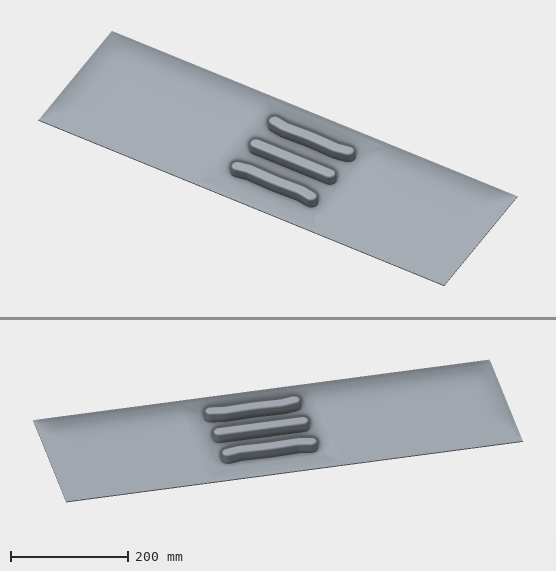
import cadquery as cq

SHEET_LENGTH = 800.0
SHEET_WIDTH = 250.0
SHEET_THICKNESS = 2.0
TRAY_X = 30.0
TRAY_MOUTH = 230.0
TRAY_FLOOR = 183.0
TRAY_DEPTH = 2.0

TOTAL_HEIGHT = 20.0
RIB_LENGTH = 169.0
RIB_WIDTH = 23.0
RIB_DRAFT = 5.0
RIB_TOP_FILLET = 4.0
RIB_SPACING = 62.0

WAVE_DIP_X = 51.0
WAVE_DIP = -2.0
WAVE_END_LIFT = 2.0
DIP_RADIUS = 34.0
CREST_RADIUS = 240.0

rib_end_x = (RIB_LENGTH - RIB_WIDTH) / 2
rib_height = TOTAL_HEIGHT - SHEET_THICKNESS
floor_plane = cq.Plane(origin=(TRAY_X, 0, SHEET_THICKNESS))


def tray_block(bottom_z):
    """Block that widens from the tray floor to the tray mouth."""
    return (
        cq.Workplane("XY", origin=(TRAY_X, 0, bottom_z))
        .rect(TRAY_FLOOR, TRAY_FLOOR)
        .workplane(offset=TRAY_DEPTH)
        .rect(TRAY_MOUTH, TRAY_MOUTH)
        .loft(ruled=True)
    )


def make_sheet():
    flat = (
        cq.Workplane("XY", origin=(0, 0, TRAY_DEPTH))
        .rect(SHEET_LENGTH, SHEET_WIDTH)
        .extrude(SHEET_THICKNESS)
    )
    return flat.union(tray_block(0)).cut(tray_block(SHEET_THICKNESS))


def round_corner(wire, x, radius):
    """Round the corner of a centre line that lies at the given x."""
    corner = min(wire.Vertices(), key=lambda vertex: abs(vertex.X - x))
    return wire.fillet(radius, [corner])


def raise_rib(outline):
    """Drafted rib with a rounded top rim, standing on the tray floor."""
    rib = outline.extrude(rib_height, taper=RIB_DRAFT)
    return rib.faces(">Z").edges().fillet(RIB_TOP_FILLET)


def make_straight_rib():
    return raise_rib(cq.Workplane(floor_plane).slot2D(RIB_LENGTH, RIB_WIDTH))


def make_wavy_rib():
    """Rib with a crest in the middle, a dip on each side of it and lifted ends."""
    centre_line = cq.Wire.makePolygon([
        (-rib_end_x, WAVE_END_LIFT),
        (-WAVE_DIP_X, WAVE_DIP),
        (0, 0),
        (WAVE_DIP_X, WAVE_DIP),
        (rib_end_x, WAVE_END_LIFT),
    ])
    centre_line = round_corner(centre_line, 0, CREST_RADIUS)
    for dip_x in (-WAVE_DIP_X, WAVE_DIP_X):
        centre_line = round_corner(centre_line, dip_x, DIP_RADIUS)
    outlines = [wire.moved(floor_plane.location) for wire in centre_line.offset2D(RIB_WIDTH / 2)]
    return raise_rib(cq.Workplane(floor_plane).newObject(outlines).toPending())


outer_rib = make_wavy_rib().translate((0, RIB_SPACING, 0))
result = make_sheet()
for rib in (make_straight_rib(), outer_rib, outer_rib.mirror("XZ")):
    result = result.union(rib)